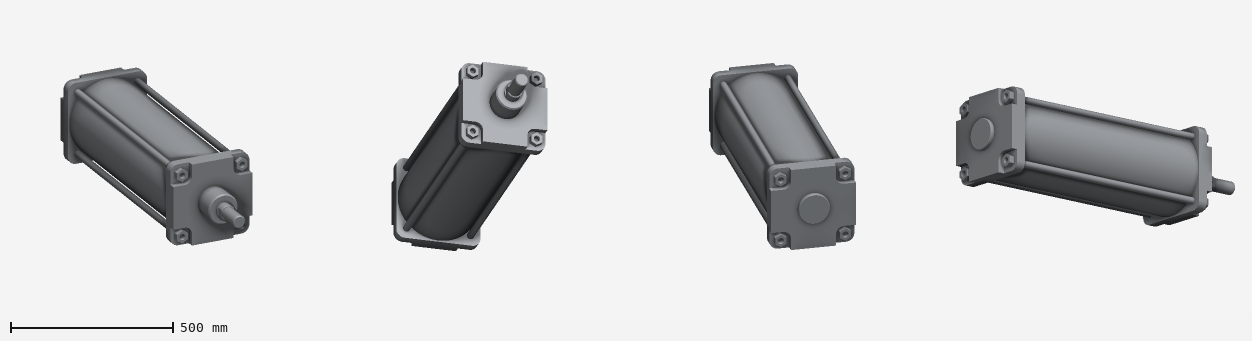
import cadquery as cq
import math

overall_length = 1003.0
boss_length = 13.0
cap_thickness = 52.0
barrel_length = 697.0
rear_cap_start = boss_length
barrel_start = rear_cap_start + cap_thickness
barrel_end = barrel_start + barrel_length
front_cap_end = barrel_end + cap_thickness

cap_width = 270.0
cap_corner_radius = 27.0
pocket_depth = 21.0
pocket_edge_offset = 71.0
pocket_corner_radius = 25.0
collar_diameter = 100.0
collar_length = 75.0
collar_chamfer = 4.0
boss_chamfer = 2.0

barrel_diameter = 261.0

tie_rod_offset = 102.0
tie_rod_diameter = 22.0
socket_diameter = 18.0
socket_depth = 18.0
socket_chamfer = 1.0
nut_across_flats = 36.0
nut_thickness = 18.0
nut_corner_diameter = nut_across_flats / math.cos(math.pi / 6)

neck_diameter = 50.0
neck_chamfer = 2.0
flats_width = 42.0
thread_diameter = 42.0
thread_chamfer = 3.0
neck_start = front_cap_end + collar_length
flats_start = 899.0
thread_start = 922.0

corner_signs = [(y, z) for y in (-1, 1) for z in (-1, 1)]


def plane_at(x):
    """Workplane across the cylinder axis: local X is +Y, local Y is +Z, extrusion goes to +X."""
    return cq.Workplane("YZ", origin=(x, 0, 0))


def cylinder(start, end, diameter):
    """Round bar on the cylinder axis."""
    return plane_at(start).circle(diameter / 2).extrude(end - start)


def nut_pocket(start, y, z):
    """Square nut clearance over a cap corner, with its one inner edge rounded."""
    pocket_size = cap_width / 2 - pocket_edge_offset
    pocket_center = (cap_width / 2 + pocket_edge_offset) / 2
    pocket = plane_at(start).rect(pocket_size, pocket_size).extrude(pocket_depth)
    pocket = pocket.translate((0, pocket_center, pocket_center))
    pocket = pocket.edges("|X and <Y and <Z").fillet(pocket_corner_radius)
    if y < 0:
        pocket = pocket.mirror("XZ")
    if z < 0:
        pocket = pocket.mirror("XY")
    return pocket


def cap_block(start, pocket_start):
    """Square cap with rounded corners, a nut pocket in each corner and tie rod holes."""
    block = plane_at(start).rect(cap_width, cap_width).extrude(cap_thickness)
    block = block.edges("|X").fillet(cap_corner_radius)
    for y, z in corner_signs:
        block = block.cut(nut_pocket(pocket_start, y, z))
    holes = (
        plane_at(start)
        .rect(2 * tie_rod_offset, 2 * tie_rod_offset, forConstruction=True)
        .vertices()
        .circle(tie_rod_diameter / 2)
        .extrude(cap_thickness)
    )
    return block.cut(holes)


def make_rear_cap():
    boss = cylinder(0, rear_cap_start, collar_diameter).faces("<X").chamfer(boss_chamfer)
    return cap_block(rear_cap_start, rear_cap_start).union(boss)


def make_front_cap():
    collar = cylinder(front_cap_end, neck_start, collar_diameter).faces(">X").chamfer(collar_chamfer)
    return cap_block(barrel_end, front_cap_end - pocket_depth).union(collar)


def make_barrel():
    return cylinder(barrel_start, barrel_end, barrel_diameter)


def make_tie_rod(y, z):
    """Rod through both caps with a nut seated in each pocket and a blind socket in each end."""
    rod_start = rear_cap_start + pocket_depth - nut_thickness
    rod_end = front_cap_end - pocket_depth + nut_thickness
    rod = cylinder(rod_start, rod_end, tie_rod_diameter)
    for nut_start in (rod_start, rod_end - nut_thickness):
        nut = (
            plane_at(nut_start)
            .polygon(6, nut_corner_diameter)
            .extrude(nut_thickness)
            .rotate((0, 0, 0), (1, 0, 0), 90)
        )
        rod = rod.union(nut)
    rear_socket = cylinder(rod_start, rod_start + socket_depth, socket_diameter)
    front_socket = cylinder(rod_end - socket_depth, rod_end, socket_diameter)
    rod = rod.cut(rear_socket).cut(front_socket)
    socket_rims = rod.faces("<X or >X").edges("%CIRCLE")
    rod = socket_rims.chamfer(socket_chamfer)
    return rod.translate((0, y * tie_rod_offset, z * tie_rod_offset))


def make_piston_rod():
    """Rod seated on the collar face, with its two wrench flats facing -Y and +Y."""
    neck = cylinder(neck_start, thread_start, neck_diameter).faces(">X").chamfer(neck_chamfer)
    flats_length = thread_start - flats_start
    flats_band = plane_at(flats_start).rect(neck_diameter, neck_diameter).extrude(flats_length)
    flats_core = plane_at(flats_start).rect(flats_width, neck_diameter).extrude(flats_length)
    neck = neck.cut(flats_band.cut(flats_core))
    thread = cylinder(thread_start, overall_length, thread_diameter).faces(">X").chamfer(thread_chamfer)
    return neck.union(thread)


rear_cap = make_rear_cap()
front_cap = make_front_cap()
barrel = make_barrel()
tie_rods = [make_tie_rod(y, z) for y, z in corner_signs]
piston_rod = make_piston_rod()

result = cq.Compound.makeCompound(
    [
        rear_cap.val(),
        front_cap.val(),
        barrel.val(),
        *[tie_rod.val() for tie_rod in tie_rods],
        piston_rod.val(),
    ]
)